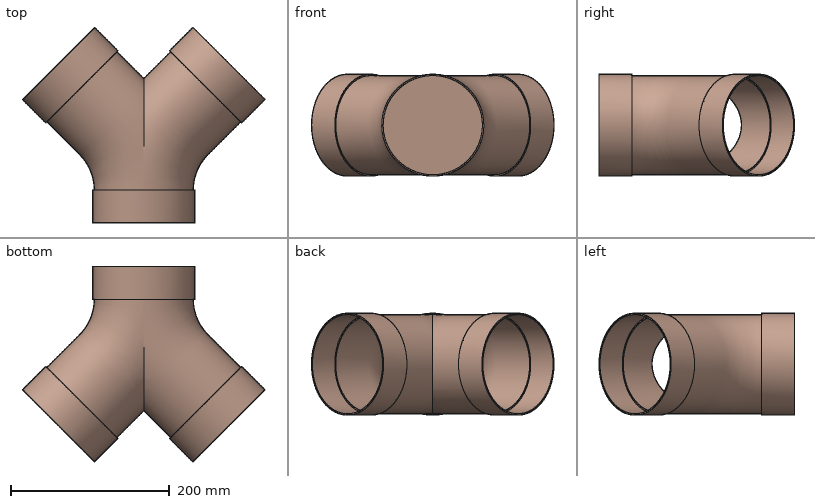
import cadquery as cq
import math

overall_width = 305.5
overall_length = 246.3
socket_diameter = 128.5
pipe_diameter = 125.0
bore_diameter = 121.3
socket_length = 41.5
branch_angle = 45.0
shoulder_thickness = 1.8

angle = math.radians(branch_angle)
branch_end_x = overall_width / 2 - socket_diameter / 2 * math.cos(angle)
branch_end_y = overall_length - socket_diameter / 2 * math.sin(angle)

bend_radius = (
    (branch_end_y - socket_length) * math.sin(angle) - branch_end_x * math.cos(angle)
) / (1 - math.cos(angle))
bend_end_x = bend_radius * (1 - math.cos(angle))
bend_end_y = socket_length + bend_radius * math.sin(angle)
straight_length = math.hypot(branch_end_x - bend_end_x, branch_end_y - bend_end_y)


def cylinder(start, direction, diameter, length):
    """Round bar from a start point along a direction."""
    return cq.Workplane(
        cq.Solid.makeCylinder(diameter / 2, length, cq.Vector(*start), cq.Vector(*direction))
    )


def branch_bar(side, diameter):
    """Solid bent bar along one branch; side is -1 for left, 1 for right."""
    bend = (
        cq.Workplane("XZ", origin=(0, socket_length, 0))
        .circle(diameter / 2)
        .revolve(branch_angle, (side * bend_radius, 0, 0), (side * bend_radius, -side, 0))
    )
    direction = (side * math.sin(angle), math.cos(angle), 0)
    straight = cylinder((side * bend_end_x, bend_end_y, 0), direction, diameter, straight_length)
    return bend.union(straight)


def branch_socket(side, diameter, length):
    """Solid bar reaching inward from the mouth of one branch."""
    mouth = (side * branch_end_x, branch_end_y, 0)
    inward = (-side * math.sin(angle), -math.cos(angle), 0)
    return cylinder(mouth, inward, diameter, length)


base_mouth = (0, 0, 0)
along_base = (0, 1, 0)
body = cylinder(base_mouth, along_base, socket_diameter, socket_length)
for side in (-1, 1):
    body = body.union(branch_bar(side, pipe_diameter))
    body = body.union(branch_socket(side, socket_diameter, socket_length))

recess_depth = socket_length - shoulder_thickness

for side in (-1, 1):
    body = body.cut(branch_bar(side, bore_diameter))
    body = body.cut(branch_socket(side, pipe_diameter, recess_depth))

result = body.cut(cylinder(base_mouth, along_base, pipe_diameter, recess_depth))